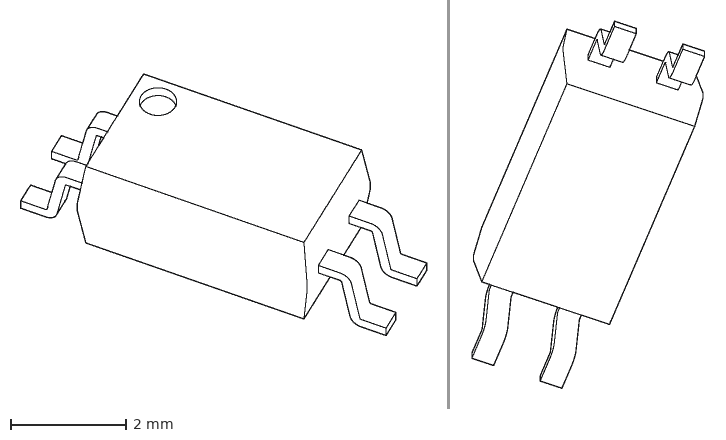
import cadquery as cq
import math

overall_length = 7.0
body_length = 4.4
body_width = 2.6
overall_height = 2.12

lead_thickness = 0.195
taper_height = 0.9
taper_inset = 0.11
band_top = overall_height - taper_height
band_bottom = band_top - lead_thickness

lead_width = 0.405
lead_pitch = 1.27
lead_embed = 0.14
foot_flat = 0.475
shoulder_start = 0.88
inner_radius = 0.03
outer_radius = inner_radius + lead_thickness

mark_radius = 0.32
mark_depth = 0.2
mark_x = -1.59
mark_y = 0.71


def tapered_half(face_z, direction):
    """Half of the body, narrowing from the band toward the top or bottom."""
    return (
        cq.Workplane("XY", origin=(0, 0, face_z))
        .rect(body_length, body_width)
        .workplane(offset=direction * taper_height)
        .rect(body_length - 2 * taper_inset, body_width - 2 * taper_inset)
        .loft(ruled=True)
    )


def make_body():
    band = (
        cq.Workplane("XY", origin=(0, 0, band_bottom))
        .rect(body_length, body_width)
        .extrude(lead_thickness)
    )
    body = band.union(tapered_half(band_top, 1)).union(tapered_half(band_bottom, -1))
    mark = (
        cq.Workplane("XY", origin=(mark_x, mark_y, overall_height - mark_depth))
        .circle(mark_radius)
        .extrude(mark_depth)
    )
    return body.cut(mark)


def polar(center, radius, angle):
    return (center[0] + radius * math.cos(angle), center[1] + radius * math.sin(angle))


def make_left_lead(y_center):
    """Lead on the -X side, with concentric bends joined by a sloping leg."""
    tip = -overall_length / 2
    inside = -body_length / 2 + lead_embed
    foot_center = (tip + foot_flat, outer_radius)
    shoulder_center = (tip + shoulder_start, band_bottom - inner_radius)

    run = shoulder_center[0] - foot_center[0]
    rise = shoulder_center[1] - foot_center[1]
    tilt = math.atan2(run, rise) - math.asin((inner_radius + outer_radius) / math.hypot(run, rise))

    foot_start = -math.pi / 2
    foot_end = -tilt
    foot_middle = (foot_start + foot_end) / 2
    shoulder_top = foot_start + math.pi
    shoulder_end = foot_end + math.pi
    shoulder_middle = foot_middle + math.pi

    profile = (
        cq.Workplane("XZ", origin=(0, y_center + lead_width / 2, 0))
        .moveTo(tip, 0)
        .lineTo(*polar(foot_center, outer_radius, foot_start))
        .threePointArc(
            polar(foot_center, outer_radius, foot_middle),
            polar(foot_center, outer_radius, foot_end),
        )
        .lineTo(*polar(shoulder_center, inner_radius, shoulder_end))
        .threePointArc(
            polar(shoulder_center, inner_radius, shoulder_middle),
            polar(shoulder_center, inner_radius, shoulder_top),
        )
        .lineTo(inside, band_bottom)
        .lineTo(inside, band_top)
        .lineTo(*polar(shoulder_center, outer_radius, shoulder_top))
        .threePointArc(
            polar(shoulder_center, outer_radius, shoulder_middle),
            polar(shoulder_center, outer_radius, shoulder_end),
        )
        .lineTo(*polar(foot_center, inner_radius, foot_end))
        .threePointArc(
            polar(foot_center, inner_radius, foot_middle),
            polar(foot_center, inner_radius, foot_start),
        )
        .lineTo(tip, lead_thickness)
        .close()
    )
    return profile.extrude(lead_width)


result = make_body()
for y_center in (-lead_pitch / 2, lead_pitch / 2):
    left_lead = make_left_lead(y_center)
    result = result.union(left_lead).union(left_lead.mirror("YZ"))